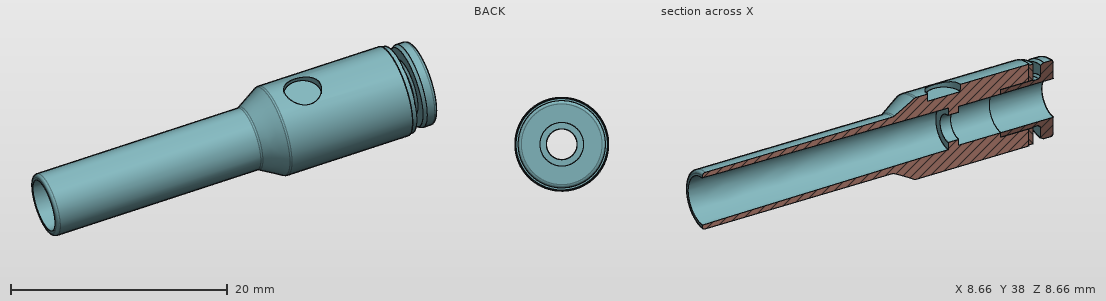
import cadquery as cq


TOTAL_LENGTH = 38.0
FLANGE_THICKNESS = 1.4
BUTTON_GAP = 0.8
CAP_LENGTH = 0.45
BARREL_LENGTH = 12.3
SHOULDER_LENGTH = 2.35
STEM_DEPTH = 3.05
SOCKET_DEPTH = 4.55
STOP_THICKNESS = 1.15

BARREL_RADIUS = 4.33
CAP_RADIUS = 4.2
TAIL_RADIUS = 3.0
FLANGE_RADIUS = 4.03
STEM_RADIUS = 2.47
SOCKET_RADIUS = 2.0
PASSAGE_RADIUS = 1.4
TAIL_MOUTH_RADIUS = 2.47
TAIL_BORE_END_RADIUS = 2.15

SHOULDER_ROUND = 0.38
TAIL_END_ROUND = 0.3
FLANGE_ROUND = 0.3
FLANGE_CHAMFER_LENGTH = 0.35
FLANGE_CHAMFER_HEIGHT = 0.2
STEM_ROOT_CHAMFER = 0.23
EDGE_SEARCH = 0.08

RECESS_RADIUS = 1.75
RECESS_FLOOR_Z = 3.57
RECESS_TO_SHOULDER = 3.1

button_end = TOTAL_LENGTH / 2
flange_base = button_end - FLANGE_THICKNESS
cap_end = flange_base - BUTTON_GAP
housing_end = cap_end - CAP_LENGTH
shoulder_start = housing_end - BARREL_LENGTH
shoulder_end = shoulder_start - SHOULDER_LENGTH
tail_end = -TOTAL_LENGTH / 2
stem_end = housing_end - STEM_DEPTH
stop_face = stem_end - SOCKET_DEPTH
tail_bore_end = stop_face - STOP_THICKNESS


def turned(profile):
    """Revolve a closed (radius, y) outline a full turn about the Y axis."""
    return profile.close().revolve(360, (0, 0, 0), (0, 1, 0))


def circle_at(y):
    """Selector for the circular edge that lies in the plane at this y."""
    return cq.selectors.BoxSelector(
        (-TOTAL_LENGTH, y - EDGE_SEARCH, -TOTAL_LENGTH),
        (TOTAL_LENGTH, y + EDGE_SEARCH, TOTAL_LENGTH),
        boundingbox=True,
    )


def make_housing():
    outside = turned(
        cq.Workplane("XY")
        .moveTo(0, housing_end)
        .lineTo(BARREL_RADIUS, housing_end)
        .lineTo(BARREL_RADIUS, shoulder_start)
        .lineTo(TAIL_RADIUS, shoulder_end)
        .lineTo(TAIL_RADIUS, tail_end)
        .lineTo(0, tail_end)
    )
    for y, round_radius in (
        (shoulder_start, SHOULDER_ROUND),
        (shoulder_end, SHOULDER_ROUND),
        (tail_end, TAIL_END_ROUND),
    ):
        outside = outside.edges(circle_at(y)).fillet(round_radius)

    bore = turned(
        cq.Workplane("XY")
        .moveTo(0, housing_end)
        .lineTo(STEM_RADIUS, housing_end)
        .lineTo(STEM_RADIUS, stem_end)
        .lineTo(SOCKET_RADIUS, stem_end)
        .lineTo(SOCKET_RADIUS, stop_face)
        .lineTo(PASSAGE_RADIUS, stop_face)
        .lineTo(PASSAGE_RADIUS, tail_bore_end)
        .lineTo(TAIL_BORE_END_RADIUS, tail_bore_end)
        .lineTo(TAIL_MOUTH_RADIUS, tail_end)
        .lineTo(0, tail_end)
    )
    label_recess = (
        cq.Workplane("XY", origin=(0, shoulder_start + RECESS_TO_SHOULDER, RECESS_FLOOR_Z))
        .circle(RECESS_RADIUS)
        .extrude(BARREL_RADIUS - RECESS_FLOOR_Z)
    )
    return outside.cut(bore).cut(label_recess)


def make_end_cap():
    """Ring on the open end of the housing that guides the button stem."""
    return turned(
        cq.Workplane("XY")
        .moveTo(STEM_RADIUS, housing_end)
        .lineTo(CAP_RADIUS, housing_end)
        .lineTo(CAP_RADIUS, cap_end)
        .lineTo(STEM_RADIUS, cap_end)
    )


def make_release_button():
    """Hollow stem with a flange; the flange is rounded outside and chamfered underneath."""
    return turned(
        cq.Workplane("XY")
        .moveTo(SOCKET_RADIUS, stem_end)
        .lineTo(STEM_RADIUS, stem_end)
        .lineTo(STEM_RADIUS, flange_base - STEM_ROOT_CHAMFER)
        .lineTo(STEM_RADIUS + STEM_ROOT_CHAMFER, flange_base)
        .lineTo(FLANGE_RADIUS - FLANGE_CHAMFER_HEIGHT, flange_base)
        .lineTo(FLANGE_RADIUS, flange_base + FLANGE_CHAMFER_LENGTH)
        .lineTo(FLANGE_RADIUS, button_end - FLANGE_ROUND)
        .radiusArc((FLANGE_RADIUS - FLANGE_ROUND, button_end), -FLANGE_ROUND)
        .lineTo(SOCKET_RADIUS, button_end)
    )


housing = make_housing()
end_cap = make_end_cap()
release_button = make_release_button()

result = cq.Compound.makeCompound([housing.val(), end_cap.val(), release_button.val()])